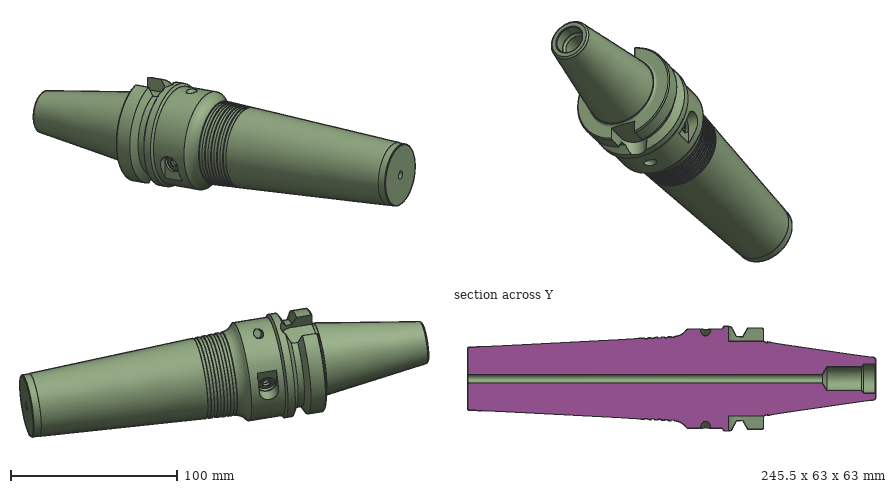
import cadquery as cq
import math

TOTAL_LENGTH = 245.5

TAPER_RATIO = 7 / 24
TAPER_LENGTH = 65.3
GAUGE_DIAMETER = 44.5
TAPER_END_CHAMFER = 1.0
NECK_DIAMETER = 43.5
NECK_FILLET = 2.0

FLANGE_DIAMETER = 63.0
FLANGE_START = 67.5
FLANGE_FRONT_CHAMFER = 0.7
FLANGE_END = 92.5
FLANGE_REAR_CHAMFER = 1.2
GROOVE_DIAMETER = 53.0
GROOVE_CENTRE = 82.0
GROOVE_FLOOR_WIDTH = 4.0
GROOVE_WALL_ANGLE = 30.0

COLLAR_DIAMETER = 60.0
COLLAR_END = 114.0
COLLAR_CHAMFER = 0.7
SHOULDER_END = 120.7

NOSE_ANGLE = 3.0
TIP_DIAMETER = 38.0
TIP_LENGTH = 5.6
TIP_STEP_HEIGHT = 0.2
TIP_STEP_LENGTH = 0.7
TIP_CHAMFER = 0.5

RING_COUNT = 5
RING_BAND_START = 121.0
RING_BAND_LENGTH = 18.2
RING_WIDTH = 2.2
RING_DEPTH = 0.5
RING_WALL_RUN = 0.2

KEYWAY_WIDTH = 16.0
KEYWAY_END = 88.5
KEYWAY_FLOOR = 22.5

BORE_MOUTH_DIAMETER = 18.5
BORE_DIAMETER = 17.5
BORE_DEPTH = 7.4
THREAD_MOUTH_DIAMETER = 17.0
THREAD_DIAMETER = 14.2
THREAD_DEPTH = 29.5
THROUGH_DIAMETER = 5.0
DRILL_TIP_ANGLE = 118.0

CROSS_FEATURE_X = 102.3
POCKET_WIDTH = 11.8
POCKET_OFFSET = 9.0
POCKET_FLOOR = 22.5
SCREW_DIAMETER = 11.0
SCREW_TOP_DIAMETER = 8.3
SCREW_TOP_DEPTH = 0.7
SOCKET_MOUTH_DIAMETER = 6.0
SOCKET_DIAMETER = 5.0
SOCKET_DEPTH = 2.5
SLANT_HOLE_DIAMETER = 6.0
SLANT_HOLE_ANGLE = 45.0
SLANT_HOLE_DEPTH = 8.5


def drill_tip_length(large_diameter, small_diameter=0.0):
    """Length of a drill-point cone between two diameters."""
    half_angle = math.radians(DRILL_TIP_ANGLE / 2)
    return (large_diameter - small_diameter) / 2 / math.tan(half_angle)


def revolve_about_x(profile):
    return profile.close().revolve(360, (0, 0, 0), (1, 0, 0))


def nose_radius(x):
    """Radius of the nose cone at position x."""
    cone_end = TOTAL_LENGTH - TIP_LENGTH
    return TIP_DIAMETER / 2 + TIP_STEP_HEIGHT + (cone_end - x) * math.tan(math.radians(NOSE_ANGLE))


def turned_body():
    small_radius = (GAUGE_DIAMETER - TAPER_LENGTH * TAPER_RATIO) / 2
    chamfer_radius = small_radius + TAPER_END_CHAMFER * TAPER_RATIO / 2
    flange_radius = FLANGE_DIAMETER / 2
    groove_radius = GROOVE_DIAMETER / 2
    collar_radius = COLLAR_DIAMETER / 2
    floor_start = GROOVE_CENTRE - GROOVE_FLOOR_WIDTH / 2
    floor_end = GROOVE_CENTRE + GROOVE_FLOOR_WIDTH / 2
    wall_run = (flange_radius - groove_radius) * math.tan(math.radians(GROOVE_WALL_ANGLE))

    neck_radius = NECK_DIAMETER / 2
    tip_radius = TIP_DIAMETER / 2
    tip_start = TOTAL_LENGTH - TIP_LENGTH
    fillet_middle = NECK_FILLET * math.sqrt(0.5)
    fillet_start = FLANGE_START - NECK_FILLET

    profile = (
        cq.Workplane("XY")
        .moveTo(TOTAL_LENGTH, 0)
        .lineTo(TOTAL_LENGTH, tip_radius - TIP_CHAMFER)
        .lineTo(TOTAL_LENGTH - TIP_CHAMFER, tip_radius)
        .lineTo(tip_start + TIP_STEP_LENGTH, tip_radius)
        .lineTo(tip_start, nose_radius(tip_start))
        .lineTo(SHOULDER_END, nose_radius(SHOULDER_END))
        .tangentArcPoint((COLLAR_END, collar_radius - COLLAR_CHAMFER), relative=False)
        .lineTo(COLLAR_END - COLLAR_CHAMFER, collar_radius)
        .lineTo(FLANGE_END, collar_radius)
        .lineTo(FLANGE_END - FLANGE_REAR_CHAMFER, flange_radius)
        .lineTo(floor_end + wall_run, flange_radius)
        .lineTo(floor_end, groove_radius)
        .lineTo(floor_start, groove_radius)
        .lineTo(floor_start - wall_run, flange_radius)
        .lineTo(FLANGE_START + FLANGE_FRONT_CHAMFER, flange_radius)
        .lineTo(FLANGE_START, flange_radius - FLANGE_FRONT_CHAMFER)
        .lineTo(FLANGE_START, neck_radius + NECK_FILLET)
        .threePointArc(
            (fillet_start + fillet_middle, neck_radius + NECK_FILLET - fillet_middle),
            (fillet_start, neck_radius),
        )
        .lineTo(TAPER_LENGTH, neck_radius)
        .lineTo(TAPER_LENGTH, GAUGE_DIAMETER / 2)
        .lineTo(TAPER_END_CHAMFER, chamfer_radius)
        .lineTo(0, small_radius - TAPER_END_CHAMFER)
        .lineTo(0, 0)
    )
    return revolve_about_x(profile)


def ring_grooves():
    pitch = (RING_BAND_LENGTH - RING_WIDTH) / (RING_COUNT - 1)
    rings = cq.Workplane("XY")
    for index in range(RING_COUNT):
        start = RING_BAND_START + index * pitch
        end = start + RING_WIDTH
        profile = (
            cq.Workplane("XY")
            .moveTo(start, nose_radius(start))
            .lineTo(start, nose_radius(start) + RING_DEPTH)
            .lineTo(end, nose_radius(end) + RING_DEPTH)
            .lineTo(end, nose_radius(end))
            .lineTo(end - RING_WALL_RUN, nose_radius(end) - RING_DEPTH)
            .lineTo(start + RING_WALL_RUN, nose_radius(start) - RING_DEPTH)
        )
        rings = rings.add(revolve_about_x(profile))
    return rings.combine()


def axial_bore():
    mouth_chamfer = (BORE_MOUTH_DIAMETER - BORE_DIAMETER) / 2
    thread_chamfer = (THREAD_MOUTH_DIAMETER - THREAD_DIAMETER) / 2
    drill_end = THREAD_DEPTH + drill_tip_length(THREAD_DIAMETER, THROUGH_DIAMETER)
    profile = (
        cq.Workplane("XY")
        .moveTo(0, 0)
        .lineTo(0, BORE_MOUTH_DIAMETER / 2)
        .lineTo(mouth_chamfer, BORE_DIAMETER / 2)
        .lineTo(BORE_DEPTH, BORE_DIAMETER / 2)
        .lineTo(BORE_DEPTH, THREAD_MOUTH_DIAMETER / 2)
        .lineTo(BORE_DEPTH + thread_chamfer, THREAD_DIAMETER / 2)
        .lineTo(THREAD_DEPTH, THREAD_DIAMETER / 2)
        .lineTo(drill_end, THROUGH_DIAMETER / 2)
        .lineTo(TOTAL_LENGTH, THROUGH_DIAMETER / 2)
        .lineTo(TOTAL_LENGTH, 0)
    )
    return revolve_about_x(profile)


def keyway():
    """Round-ended slot cut into the flange from the taper side, at +Z."""
    arc_centre = KEYWAY_END - KEYWAY_WIDTH / 2
    half_width = KEYWAY_WIDTH / 2
    return (
        cq.Workplane("XY", origin=(0, 0, KEYWAY_FLOOR))
        .moveTo(TAPER_LENGTH, -half_width)
        .lineTo(arc_centre, -half_width)
        .threePointArc((KEYWAY_END, 0), (arc_centre, half_width))
        .lineTo(TAPER_LENGTH, half_width)
        .close()
        .extrude(FLANGE_DIAMETER / 2)
    )


def screw_pocket():
    """Flat pocket at -Y, open toward -Z, with a recessed socket screw in its round end."""
    half_width = POCKET_WIDTH / 2
    outside = FLANGE_DIAMETER / 2
    pocket = (
        cq.Workplane("XZ", origin=(CROSS_FEATURE_X, -POCKET_FLOOR, 0))
        .moveTo(-half_width, -outside)
        .lineTo(-half_width, -POCKET_OFFSET)
        .threePointArc((0, half_width - POCKET_OFFSET), (half_width, -POCKET_OFFSET))
        .lineTo(half_width, -outside)
        .close()
        .extrude(outside - POCKET_FLOOR)
    )
    screw_bevel = (SCREW_DIAMETER - SCREW_TOP_DIAMETER) / 2
    socket_chamfer = (SOCKET_MOUTH_DIAMETER - SOCKET_DIAMETER) / 2
    socket_end = SCREW_TOP_DEPTH + SOCKET_DEPTH
    screw_recess = (
        cq.Workplane("XY")
        .moveTo(0, 0)
        .lineTo(SCREW_DIAMETER / 2, 0)
        .lineTo(SCREW_DIAMETER / 2, SCREW_TOP_DEPTH + screw_bevel)
        .lineTo(SCREW_TOP_DIAMETER / 2, SCREW_TOP_DEPTH)
        .lineTo(SOCKET_MOUTH_DIAMETER / 2, SCREW_TOP_DEPTH)
        .lineTo(SOCKET_DIAMETER / 2, SCREW_TOP_DEPTH + socket_chamfer)
        .lineTo(SOCKET_DIAMETER / 2, socket_end)
        .lineTo(0, socket_end + drill_tip_length(SOCKET_DIAMETER))
        .close()
        .revolve(360, (0, 0, 0), (0, 1, 0))
        .translate((CROSS_FEATURE_X, -POCKET_FLOOR, -POCKET_OFFSET))
    )
    return pocket.union(screw_recess)


def slant_hole():
    """Blind hole entering at +Z and leaning toward -Y as it goes in."""
    overshoot = SLANT_HOLE_DIAMETER
    return (
        cq.Workplane("XY", origin=(0, 0, -SLANT_HOLE_DEPTH))
        .circle(SLANT_HOLE_DIAMETER / 2)
        .extrude(SLANT_HOLE_DEPTH + overshoot)
        .rotate((0, 0, 0), (1, 0, 0), -SLANT_HOLE_ANGLE)
        .translate((CROSS_FEATURE_X, 0, COLLAR_DIAMETER / 2))
    )


result = turned_body().cut(ring_grooves()).cut(axial_bore())

for feature in (keyway(), screw_pocket(), slant_hole()):
    for turn in (0, 180):
        result = result.cut(feature.rotate((0, 0, 0), (1, 0, 0), turn))